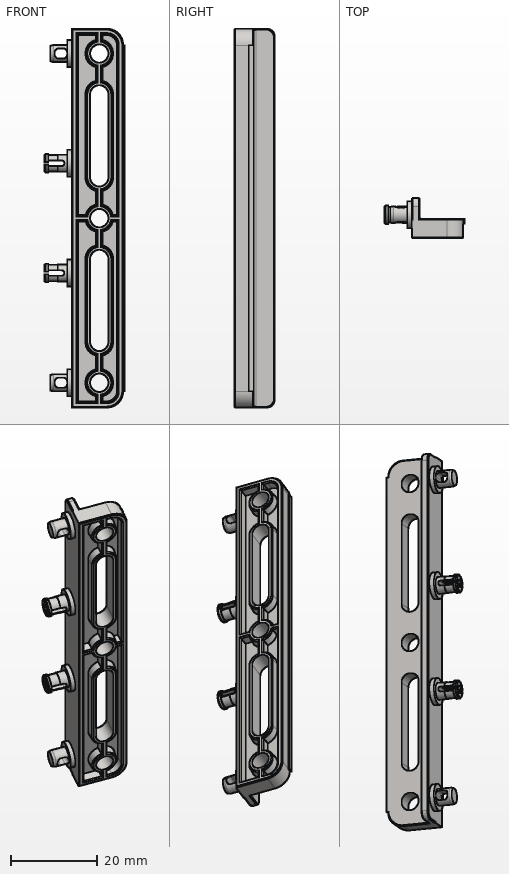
import cadquery as cq
bar_length = 87.72
bar_width = 11.9
bar_depth = 4.55
flange_height = 9.4
flange_thickness = 1.8
bar_corner_radius = 3.8
flange_corner_radius = 1.9
inner_corner_radius = 0.4
edge_chamfer = 0.25

strip_projection = 0.3
strip_thickness = 1.2
strip_length = 2 * (bar_length / 2 - bar_corner_radius)

wall = 1.0
floor_thickness = 2.25
cavity_depth = bar_depth - floor_thickness
rim_bevel = 0.3
bevel_angle = 45
wall_draft = 5

pitch = 25.4
hole_x = 6.35
hole_diameter = 4.2
boss_diameter = 5.5
hole_zs = (-1.5 * pitch, 0, 1.5 * pitch)
slot_zs = (-0.75 * pitch, 0.75 * pitch)
slot_length = 23.4
rib_thickness = 0.7

pin_y = 5.5
pin_diameter = 4.0
collar_diameter = 6.3
collar_thickness = 1.1
solid_pin_length = 5.0
solid_pin_chamfer = 0.2
solid_pin_chamfer_length = 0.65
window_length = 2.85
window_height = 2.3
window_fillet = 0.9
split_pin_length = 18.53 - bar_width - strip_projection
lip_diameter = 4.35
lip_length = 0.9
lip_chamfer = 0.3
tip_slit = 0.5
split_width = 1.2
split_end_x = -1.75
neck_diameter = 3.85
neck_end_x = -3.2
bore_diameter = 1.8
solid_pin_zs = (-1.5 * pitch, 1.5 * pitch)
split_pin_zs = (-0.5 * pitch, 0.5 * pitch)


def box(x0, x1, y0, y1, z0, z1):
    """Axis-aligned box between two opposite corners."""
    return cq.Workplane("XY").box(x1 - x0, y1 - y0, z1 - z0, centered=False).translate((x0, y0, z0))


def facing_back(x, y, z):
    """Workplane across Y whose normal points toward +Y."""
    return cq.Workplane(cq.Plane((x, y, z), (1, 0, 0), (0, 1, 0)))


def post(z, length, width, y, depth, taper=0):
    """Post along Y on the hole line: round-ended along Z, or a plain cylinder if length equals width."""
    plane = facing_back(hole_x, y, z)
    if length > width:
        return plane.slot2D(length, width, 90).extrude(depth, taper=taper)
    return plane.circle(width / 2).extrude(depth, taper=taper)


def rod(z, diameter, x0, x1):
    """Cylinder along X on a pin axis."""
    return cq.Workplane("YZ", origin=(x0, pin_y, z)).circle(diameter / 2).extrude(x1 - x0)


def make_body():
    half = bar_length / 2
    bar = box(0, bar_width, 0, bar_depth, -half, half)
    bar = bar.edges("|Y and >X").fillet(bar_corner_radius)
    flange = box(0, flange_thickness, 0, flange_height, -half, half)
    flange = flange.edges("|X and >Y").fillet(flange_corner_radius)
    flange = flange.faces(">Y").edges("|Z").chamfer(edge_chamfer)
    bar = bar.faces(">Y").edges("not <X").chamfer(edge_chamfer)
    body = bar.union(flange)
    body = body.faces("<Y").edges().chamfer(edge_chamfer)
    inner_corner = cq.selectors.NearestToPointSelector((flange_thickness, bar_depth, 0))
    body = body.edges(inner_corner).fillet(inner_corner_radius)
    strip = box(
        bar_width - wall, bar_width + strip_projection,
        bar_depth - strip_thickness, bar_depth,
        -strip_length / 2, strip_length / 2,
    )
    return body.union(strip)


def cavity_layer(y, depth, inset, taper):
    """One layer of the hollow, less its bosses and ribs.

    The inset thickens every wall, boss and rib; the taper thickens them steadily toward +Y.
    """
    half = bar_length / 2 - wall - inset
    left = wall + inset
    right = bar_width - wall - inset
    radius = bar_corner_radius - wall - inset
    layer = (
        facing_back(0, y, 0)
        .moveTo(left, -half)
        .lineTo(right - radius, -half)
        .radiusArc((right, radius - half), -radius)
        .lineTo(right, half - radius)
        .radiusArc((right - radius, half), -radius)
        .lineTo(left, half)
        .close()
        .extrude(depth, taper=taper)
    )
    post_diameter = boss_diameter + 2 * inset
    long_post = slot_length + post_diameter - hole_diameter
    for z in hole_zs:
        layer = layer.cut(post(z, post_diameter, post_diameter, y, depth, -taper))
    for z in slot_zs:
        layer = layer.cut(post(z, long_post, post_diameter, y, depth, -taper))
    rib = rib_thickness + 2 * inset
    long_rib = facing_back(hole_x, y, 0).rect(rib, bar_length).extrude(depth, taper=-taper)
    cross_rib = facing_back(hole_x, y, 0).rect(2 * bar_width, rib).extrude(depth, taper=-taper)
    return layer.cut(long_rib).cut(cross_rib)


def make_solid_pin(z):
    """Plain pin with a window through it along Y, next to the collar."""
    pin = rod(z, pin_diameter, -solid_pin_length, 0)
    pin = pin.faces("<X").edges().chamfer(solid_pin_chamfer_length, solid_pin_chamfer)
    window = box(
        -collar_thickness - window_length, -collar_thickness,
        pin_y - pin_diameter, pin_y + pin_diameter,
        z - window_height / 2, z + window_height / 2,
    ).edges("|Y").fillet(window_fillet)
    return pin.cut(window).union(rod(z, collar_diameter, -collar_thickness, 0))


def make_split_pin(z):
    """Snap pin with a lipped tip, split across its axis; the split narrows at the lip."""
    tip_x = -split_pin_length
    lip_x = tip_x + lip_length
    lip = rod(z, lip_diameter, tip_x, lip_x).faces("<X").chamfer(lip_chamfer)
    pin = rod(z, pin_diameter, neck_end_x, 0).union(rod(z, neck_diameter, lip_x, neck_end_x)).union(lip)
    pin = pin.cut(rod(z, bore_diameter, tip_x, split_end_x - split_width / 2))
    y0 = pin_y - lip_diameter
    y1 = pin_y + lip_diameter
    split = box(lip_x, split_end_x, y0, y1, z - split_width / 2, z + split_width / 2)
    split = split.faces(">X").edges("|Y").fillet(0.49 * split_width)
    slit = box(tip_x, lip_x, y0, y1, z - tip_slit / 2, z + tip_slit / 2)
    return pin.cut(split).cut(slit).union(rod(z, collar_diameter, -collar_thickness, 0))


result = make_body()
result = result.cut(cavity_layer(0, rim_bevel, 0, bevel_angle))
result = result.cut(cavity_layer(rim_bevel, cavity_depth - rim_bevel, rim_bevel, wall_draft))
for z in hole_zs:
    result = result.cut(post(z, hole_diameter, hole_diameter, 0, bar_depth))
for z in slot_zs:
    result = result.cut(post(z, slot_length, hole_diameter, 0, bar_depth))
for z in solid_pin_zs:
    result = result.union(make_solid_pin(z))
for z in split_pin_zs:
    result = result.union(make_split_pin(z))